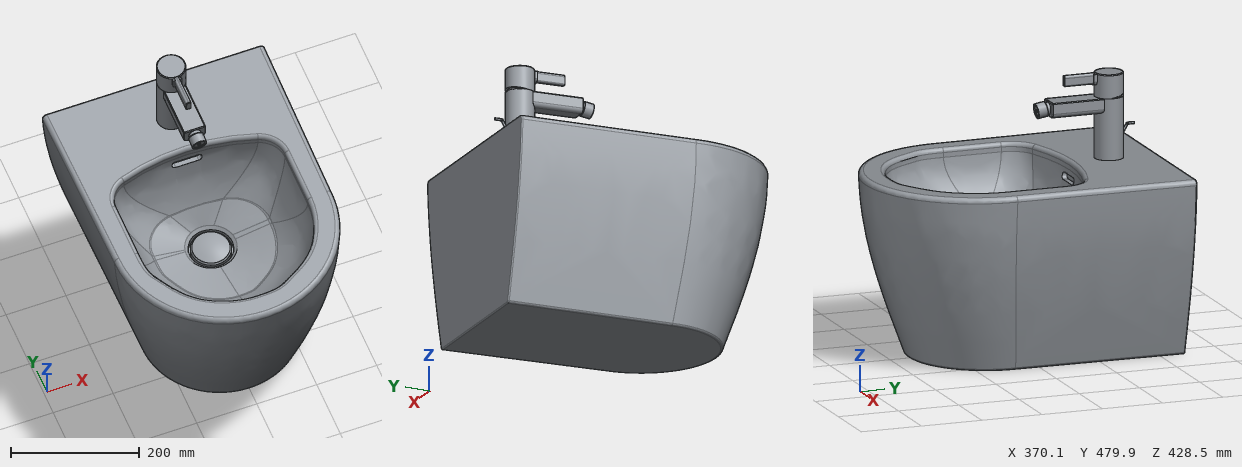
import cadquery as cq
import math


basin_height = 291.5
side_taper = math.radians(0.77)
basin_sections = [
    (0, 130.5, 408.0),
    (98.5, 156.5, 443.5),
    (192.0, 175.0, 469.0),
    (basin_height, 185.5, 480.0),
]
outer_rim_round = 7.5
underside_round = 4.5
back_round = 2.0

lip_depth = 14.5
rim_round = 6.5
bowl_floor_z = 191.0
bowl_levels = 6
nose_steps = 4
bowl_wall_power = 1.8
mouth_outline = (140.5, -142.0, -297.5, -438.2, 341.0, 43.0)
floor_outline = (97.0, -181.0, -254.5, -365.5, 288.0, 62.5)
floor_edge_round = 9.5

drain_y = -246.0
drain_z = 166.5
drain_mouth_radius = 41.0
drain_bore_radius = 35.5
drain_bevel_depth = 4.5
drain_bore_depth = 9.5
drain_bottom_z = drain_z - drain_bevel_depth - drain_bore_depth
plug_radius = 32.0
plug_edge_z = 164.5
plug_edge_chamfer = 2.5
plug_dome_height = 6.0

overflow_z = 263.0
overflow_length = 50.0
overflow_height = 11.5
overflow_depth = 5.5

tap_y = -77.0
tap_radius = 23.0
column_top_z = 390.2
spout_width = 36.5
spout_height = 24.5
spout_end_y = -177.0
spout_bottom_round = 7.0
spout_chamfer = 1.5

handle_top_z = 428.5
handle_neck_radius = 19.5
handle_gap = 5.0
handle_gap_end = 4.0
handle_edge_chamfer = 1.5
lever_end_y = -151.5
lever_width = 8.5
lever_height = 17.5
lever_top_round = 4.0
lever_bottom_round = 2.0
lever_end_chamfer = 1.0
collar_width = 14.5
collar_height = 18.0
collar_length = 4.0
collar_round = 6.0

nozzle_z = 378.2
nozzle_radius = 12.0
nozzle_neck_radius = 10.0
nozzle_neck_length = 5.0
nozzle_length = 20.0
nozzle_tilt = 9.5
outlet_radius = 9.5
outlet_depth = 2.0
outlet_pin_radius = 2.5

rod_radius = 2.0
rod_z = 342.5
rod_end_y = -34.5
rod_bend_y = -46.0
rod_foot_y = -57.5
rod_foot_z = 323.5


def basin_section(height, half_width, length):
    """A straight back and two tapered sides, closed by an arc that is tangent to both."""
    lean = math.sin(side_taper)
    nose_radius = (half_width * math.cos(side_taper) - length * lean) / (1 - lean)
    side_end_x = nose_radius * math.cos(side_taper)
    side_end_y = nose_radius * (1 + lean) - length
    return (
        cq.Workplane("XY", origin=(0, 0, height))
        .moveTo(half_width, 0)
        .lineTo(-half_width, 0)
        .lineTo(-side_end_x, side_end_y)
        .threePointArc((0, -length), (side_end_x, side_end_y))
        .close()
        .val()
    )


def bowl_section(height, outline):
    """A bowed back, two corner arcs, straight sides and a half ellipse for the nose."""
    half_width, back_y, side_end_y, nose_y, back_radius, corner_radius = outline
    back_centre_y = back_y - back_radius
    corner_x = half_width - corner_radius
    corner_lift = math.sqrt((back_radius - corner_radius) ** 2 - corner_x**2)
    corner_y = back_centre_y + corner_lift
    corner_start = math.atan2(corner_lift, corner_x)
    join_x = back_radius * math.cos(corner_start)
    join_y = back_centre_y + back_radius * math.sin(corner_start)
    mid_x = corner_x + corner_radius * math.cos(corner_start / 2)
    mid_y = corner_y + corner_radius * math.sin(corner_start / 2)
    nose_depth = side_end_y - nose_y
    nose_angles = [math.pi / 2 * step / nose_steps for step in range(1, nose_steps + 1)]
    right_nose = [(half_width * math.cos(a), side_end_y - nose_depth * math.sin(a)) for a in nose_angles]
    left_nose = [(-half_width * math.sin(a), side_end_y - nose_depth * math.cos(a)) for a in nose_angles]
    return (
        cq.Workplane("XY", origin=(0, 0, height))
        .moveTo(-half_width, corner_y)
        .threePointArc((-mid_x, mid_y), (-join_x, join_y))
        .threePointArc((0, back_y), (join_x, join_y))
        .threePointArc((mid_x, mid_y), (half_width, corner_y))
        .lineTo(half_width, side_end_y)
        .spline(right_nose, tangents=[(0, -1), (-1, 0)], includeCurrent=True)
        .spline(left_nose, tangents=[(-1, 0), (0, 1)], includeCurrent=True)
        .close()
        .val()
    )


def edges_at_height(z):
    """Selects the edges that lie at one height, anywhere in the basin."""
    tolerance = 0.5
    _, half_width, length = basin_sections[-1]
    return cq.selectors.BoxSelector((-half_width, -length, z - tolerance), (half_width, 0, z + tolerance))


def make_bowl():
    """The hollow of the basin: upright lip, curved wall and a floor that falls to the drain."""
    lip_z = basin_height - lip_depth
    lip = cq.Workplane("XY").add(bowl_section(lip_z, mouth_outline)).toPending().extrude(lip_depth)
    wall_wires = []
    for level in range(bowl_levels + 1):
        depth = level / bowl_levels
        inset = depth**bowl_wall_power
        outline = [m + (f - m) * inset for m, f in zip(mouth_outline, floor_outline)]
        wall_wires.append(bowl_section(lip_z + (bowl_floor_z - lip_z) * depth, outline))
    wall = cq.Solid.makeLoft(wall_wires)
    drain_wire = cq.Wire.makeCircle(drain_mouth_radius, cq.Vector(0, drain_y, drain_z), cq.Vector(0, 0, 1))
    floor = cq.Solid.makeLoft([wall_wires[-1], drain_wire], True)
    bowl = lip.union(cq.Workplane(wall)).union(cq.Workplane(floor))
    return bowl.edges(edges_at_height(bowl_floor_z)).fillet(floor_edge_round)


def make_drain():
    """The bevelled bore under the bowl floor."""
    bevel_z = drain_z - drain_bevel_depth
    return (
        cq.Workplane("XZ", origin=(0, drain_y, 0))
        .moveTo(0, drain_z)
        .lineTo(drain_mouth_radius, drain_z)
        .lineTo(drain_bore_radius, bevel_z)
        .lineTo(drain_bore_radius, drain_bottom_z)
        .lineTo(0, drain_bottom_z)
        .close()
        .revolve(360, (0, 0, 0), (0, 1, 0))
    )


def make_overflow():
    """The blind slot in the back wall of the bowl."""
    slot_back_y = mouth_outline[1] + overflow_depth
    return (
        cq.Workplane("XZ", origin=(0, slot_back_y, overflow_z))
        .slot2D(overflow_length, overflow_height)
        .extrude(2 * overflow_depth)
    )


def make_basin():
    """Rounded outer body with the bowl, the drain bore and the overflow slot cut into it."""
    shell = cq.Workplane(cq.Solid.makeLoft([basin_section(*section) for section in basin_sections]))
    shell = shell.faces(">Z").edges("not >Y").fillet(outer_rim_round)
    shell = shell.faces("<Z").edges("not >Y").fillet(underside_round)
    shell = shell.faces(">Y").edges().fillet(back_round)
    basin = shell.cut(make_bowl())
    mouth_wire = basin.faces(">Z").val().innerWires()[0]
    basin = basin.newObject(mouth_wire.Edges()).fillet(rim_round)
    return basin.cut(make_drain()).cut(make_overflow())


def make_plug():
    """Domed drain plug that stands in the bore with a narrow gap around it."""
    dome_radius = plug_radius - plug_edge_chamfer
    sphere_radius = (dome_radius**2 + plug_dome_height**2) / (2 * plug_dome_height)
    mid_x = dome_radius / 2
    mid_z = plug_edge_z + plug_dome_height - sphere_radius + math.sqrt(sphere_radius**2 - mid_x**2)
    return (
        cq.Workplane("XZ", origin=(0, drain_y, 0))
        .moveTo(0, drain_bottom_z)
        .lineTo(plug_radius, drain_bottom_z)
        .lineTo(plug_radius, plug_edge_z - plug_edge_chamfer)
        .lineTo(dome_radius, plug_edge_z)
        .threePointArc((mid_x, mid_z), (0, plug_edge_z + plug_dome_height))
        .close()
        .revolve(360, (0, 0, 0), (0, 1, 0))
    )


def make_tap_body():
    """Column and spout in one piece."""
    column_height = column_top_z - basin_height
    column = cq.Workplane("XY", origin=(0, tap_y, basin_height)).circle(tap_radius).extrude(column_height)
    spout_length = tap_y - spout_end_y
    spout = (
        cq.Workplane("XY", origin=(0, spout_end_y, column_top_z))
        .box(spout_width, spout_length, spout_height, centered=(True, False, False))
        .translate((0, 0, -spout_height))
        .edges("|Y and <Z")
        .fillet(spout_bottom_round)
        .edges("|Y and >Z")
        .chamfer(spout_chamfer)
        .faces("<Y")
        .edges()
        .chamfer(spout_chamfer)
    )
    return column.union(spout)


def make_handle():
    """Cap that turns on the column, with a collar and a lever."""
    height = handle_top_z - column_top_z
    cap = (
        cq.Workplane("XY", origin=(0, tap_y, column_top_z))
        .circle(tap_radius)
        .extrude(height)
        .faces(">Z")
        .edges()
        .chamfer(handle_edge_chamfer)
    )
    back_y = tap_y + tap_radius
    gap = (
        cq.Workplane("YZ", origin=(-tap_radius, 0, 0))
        .moveTo(back_y, column_top_z)
        .lineTo(back_y, column_top_z + handle_gap)
        .lineTo(tap_y - handle_gap_end, column_top_z)
        .close()
        .extrude(2 * tap_radius)
    )
    neck = cq.Workplane("XY", origin=(0, tap_y, column_top_z)).circle(handle_neck_radius).extrude(height / 2)
    lever_z = handle_top_z - lever_height
    lever = (
        cq.Workplane("XY", origin=(0, lever_end_y, lever_z))
        .box(lever_width, tap_y - lever_end_y, lever_height, centered=(True, False, False))
        .edges("|Y and >Z")
        .fillet(lever_top_round)
        .edges("|Y and <Z")
        .fillet(lever_bottom_round)
        .faces("<Y")
        .edges()
        .chamfer(lever_end_chamfer)
    )
    collar_z = handle_top_z - handle_edge_chamfer - collar_height
    collar = (
        cq.Workplane("XY", origin=(0, tap_y - tap_radius - collar_length, collar_z))
        .box(collar_width, tap_radius, collar_height, centered=(True, False, False))
        .edges("|Y and <Z")
        .fillet(collar_round)
    )
    return cap.cut(gap).union(neck).union(collar).union(lever)


def make_nozzle():
    """Short neck on the spout end and a tilted head with a recessed outlet around a pin."""
    neck_reach = 2 * nozzle_neck_length
    neck = cq.Workplane("XZ", origin=(0, spout_end_y, nozzle_z)).circle(nozzle_neck_radius).extrude(neck_reach)
    head_length = nozzle_length - nozzle_neck_length
    head = (
        cq.Workplane("XZ", origin=(0, spout_end_y - nozzle_neck_length, nozzle_z))
        .circle(nozzle_radius)
        .extrude(head_length)
        .faces("<Y")
        .workplane()
        .circle(outlet_radius)
        .circle(outlet_pin_radius)
        .cutBlind(-outlet_depth)
    )
    pivot = (0, spout_end_y - nozzle_neck_length, nozzle_z)
    head = head.rotate(pivot, (1, pivot[1], pivot[2]), nozzle_tilt)
    return neck.union(head)


def make_rod():
    """Bent pull rod that enters the back of the column."""
    path = (
        cq.Workplane("YZ")
        .moveTo(rod_end_y, rod_z)
        .lineTo(rod_bend_y, rod_z)
        .lineTo(rod_foot_y, rod_foot_z)
    )
    profile = cq.Workplane("XZ", origin=(0, rod_end_y, rod_z)).circle(rod_radius)
    return profile.sweep(path, transition="round")


basin = make_basin()
plug = make_plug()
rod = make_rod()
tap_body = make_tap_body().cut(rod)
handle = make_handle()
nozzle = make_nozzle()

result = cq.Compound.makeCompound(
    [basin.val(), plug.val(), tap_body.val(), handle.val(), nozzle.val(), rod.val()]
)